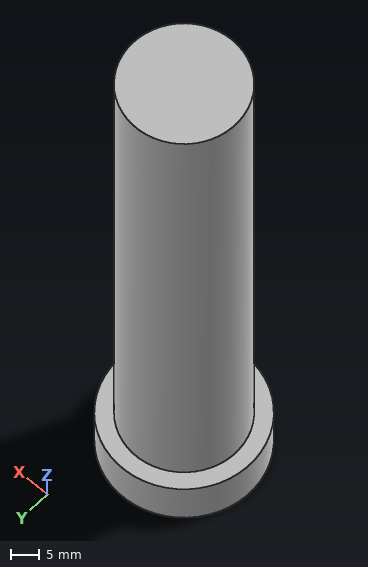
import cadquery as cq

total_length = 125.0
head_diameter = 32.0
head_height = 10.0
shank_diameter = 25.0

head = cq.Workplane("XY").circle(head_diameter / 2).extrude(head_height)
shank = cq.Workplane("XY").circle(shank_diameter / 2).extrude(total_length)

result = head.union(shank)